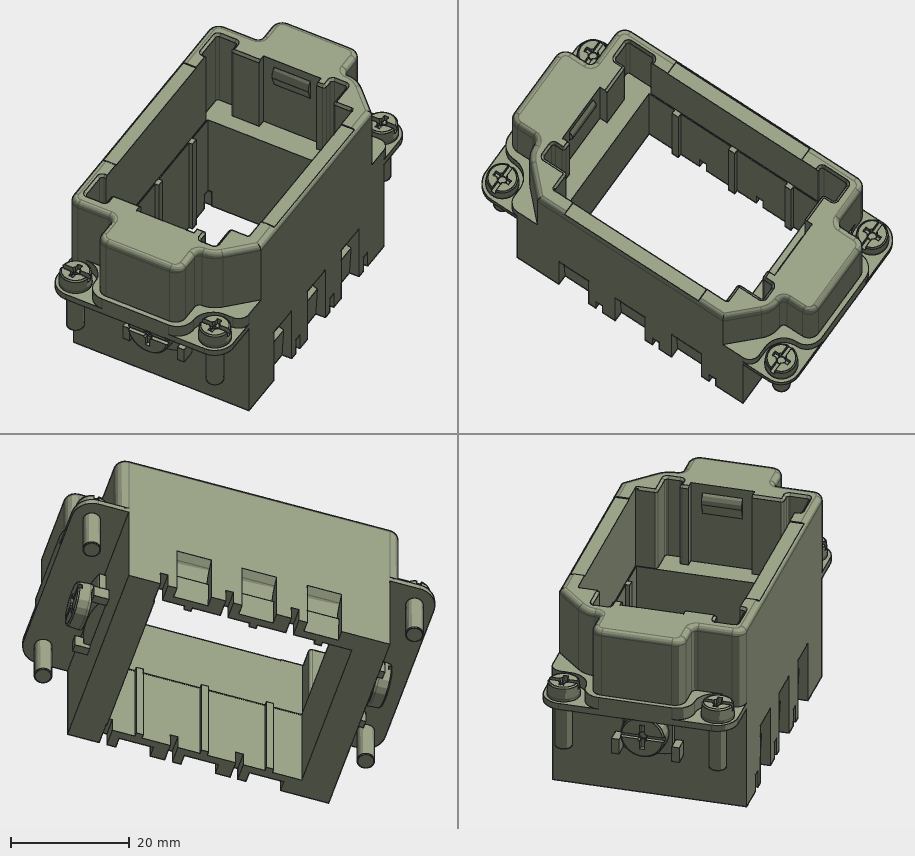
import cadquery as cq
import math

width, length, height = 34.0, 64.0, 34.9
half_width = width / 2
half_length = length / 2

body_half_length = 23.1
opening_half_width = 13.9
opening_half_length = 17.35

flange_bottom = 19.0
flange_top = 20.15
platform_top = 22.4
flange_corner = 3.6
screw_x, screw_y = 13.5, 28.55
platform_neck = 9.55
platform_crown_round = 3.1

shoulder_y = 25.1
neck_half_width = 8.1
hood_half_length = 31.1
hood_corner = 2.0
neck_inner_round = 0.9
rim_round = 1.0
bevel_bend_start = 8.9
bevel_bend_radius = 4.8

pocket_floor = 19.7
pocket_half_width = 14.1
pocket_end = 22.5
tongue_face = 20.2
pocket_step = 17.55
pocket_lip = 17.1
recess_left, tongue_left = -15.05, -11.1
tongue_right, recess_right = 7.2, 10.25
pocket_corner = 0.5
pocket_bevel = 0.45
latch_recess_half_width = 5.6
latch_recess_y = 21.7
latch_half_width = 3.5
latch_depth = 0.7
latch_bottom, latch_peak, latch_top = 29.25, 31.3, 33.2
latch_round_setback, latch_round_mid = 0.2, 32.45

strip_half_length = 13.7
strip_depth = 0.2

station_pitch = 11.5
stations = [-station_pitch, 0, station_pitch]
window_width = 6.1
window_top = 11.15
window_lead_in = 1.1
window_curve_mid = (2.1, 8.7)
window_curve_foot = (2.5, 6.4)
window_ledge = (1.55, 5.95)
window_foot_depth = 1.85
rib_width, rib_depth = 1.3, 0.7
slot_width, slot_height = 1.35, 3.2
slot_pitch = 11.6
middle_slot_y = 5.25

screw_height = 2.6
screw_diameter = 5.6
shaft_diameter = 3.0
shaft_tip_diameter = 2.7
shaft_bottom = 10.2
screw_cross_length = 3.15
screw_drive_depth = 1.1

ground_z = 13.4
ground_diameter = 8.0
ground_height = 2.55
ground_shank_diameter = 4.0
ground_cross_length = 4.55
ground_drive_depth = 0.7
plate_half_size = 4.35
plate_edge_y, plate_crown_y = 24.25, 25.2
bracket_inner, bracket_outer = 4.6, 5.95
bracket_bottom, bracket_top = 8.3, 11.15
bracket_y = 25.7

head_rim_height = 0.45
head_taper = 0.16
head_bevel = 0.25
drive_slot_width = 0.8
dimple_countersink_radius, dimple_radius = 0.9, 0.7
dimple_depth = 0.3


def block(x0, x1, y0, y1, z0, z1):
    return cq.Workplane("XY").box(x1 - x0, y1 - y0, z1 - z0, centered=False).translate((x0, y0, z0))


def both_ends(shape):
    """Join a shape on the +Y end with its mirror image on the -Y end."""
    return shape.union(shape.mirror("XZ"))


def both_sides(shape):
    """Join a shape on the -X side with its mirror image on the +X side."""
    return shape.union(shape.mirror("YZ"))


def make_flange():
    flange = block(-half_width, half_width, -half_length, half_length, flange_bottom, flange_top)
    return flange.edges("|Z").fillet(flange_corner)


def make_platform():
    middle = block(-half_width, half_width, -shoulder_y, shoulder_y, flange_bottom, platform_top)
    middle = middle.edges("|Z").fillet(hood_corner)
    bend_y = half_length - platform_crown_round
    foot_round = bend_y - shoulder_y
    crown = platform_neck - platform_crown_round
    foot = platform_neck + foot_round
    crown_diagonal = platform_crown_round * math.sqrt(0.5)
    foot_diagonal = foot_round * math.sqrt(0.5)
    end = (
        cq.Workplane("XY", origin=(0, 0, flange_bottom))
        .moveTo(-foot, shoulder_y)
        .threePointArc((-foot + foot_diagonal, bend_y - foot_diagonal), (-platform_neck, bend_y))
        .threePointArc((-crown - crown_diagonal, bend_y + crown_diagonal), (-crown, half_length))
        .lineTo(crown, half_length)
        .threePointArc((crown + crown_diagonal, bend_y + crown_diagonal), (platform_neck, bend_y))
        .threePointArc((foot - foot_diagonal, bend_y - foot_diagonal), (foot, shoulder_y))
        .lineTo(foot, 0)
        .lineTo(-foot, 0)
        .close()
        .extrude(platform_top - flange_bottom)
    )
    return middle.union(both_ends(end))


def make_hood_half():
    """Half of the hood on the +Y side, with the 45 degree bevel at +X."""
    c = hood_corner * (1 - math.sqrt(0.5))
    n = neck_inner_round * (1 - math.sqrt(0.5))
    bend = math.radians(45)
    bend_x = bevel_bend_start + bevel_bend_radius * math.sin(bend)
    bend_y = shoulder_y - bevel_bend_radius * (1 - math.cos(bend))
    mid_x = bevel_bend_start + bevel_bend_radius * math.sin(bend / 2)
    mid_y = shoulder_y - bevel_bend_radius * (1 - math.cos(bend / 2))
    nw, top, hw = neck_half_width, hood_half_length, half_width
    return (
        cq.Workplane("XY", origin=(0, 0, flange_bottom))
        .moveTo(-hw, 0)
        .lineTo(-hw, shoulder_y - hood_corner)
        .threePointArc((-hw + c, shoulder_y - c), (-hw + hood_corner, shoulder_y))
        .lineTo(-nw - neck_inner_round, shoulder_y)
        .threePointArc((-nw - n, shoulder_y + n), (-nw, shoulder_y + neck_inner_round))
        .lineTo(-nw, top - hood_corner)
        .threePointArc((-nw + c, top - c), (-nw + hood_corner, top))
        .lineTo(nw - hood_corner, top)
        .threePointArc((nw - c, top - c), (nw, top - hood_corner))
        .lineTo(nw, shoulder_y + neck_inner_round)
        .threePointArc((nw + n, shoulder_y + n), (nw + neck_inner_round, shoulder_y))
        .threePointArc((mid_x, mid_y), (bend_x, bend_y))
        .lineTo(hw, bend_y - (hw - bend_x))
        .lineTo(hw, 0)
        .close()
        .extrude(height - flange_bottom)
    )


def make_hood():
    return both_ends(make_hood_half()).clean().faces(">Z").edges().fillet(rim_round)


def make_pocket():
    """Everything removed from the hood above the inner shelf."""
    step_end = pocket_half_width - pocket_bevel
    outline = [
        (recess_left, pocket_lip),
        (recess_left, pocket_end),
        (tongue_left, pocket_end),
        (tongue_left, tongue_face),
        (tongue_right, tongue_face),
        (tongue_right, pocket_end),
        (recess_right, pocket_end),
        (recess_right, pocket_step),
        (step_end, pocket_step),
        (step_end, pocket_lip),
    ]
    sketch = cq.Sketch().polygon(outline + outline[:1]).vertices("not >X").fillet(pocket_corner)
    bevel_start = height - pocket_bevel
    end = cq.Workplane("XY", origin=(0, 0, pocket_floor)).placeSketch(sketch).extrude(height - pocket_floor)
    bevel_plane = cq.Workplane("XY", origin=(0, 0, bevel_start))
    end = end.union(bevel_plane.placeSketch(sketch).extrude(pocket_bevel, taper=-45))
    latch_recess = block(
        -latch_recess_half_width, latch_recess_half_width, 0, latch_recess_y, pocket_floor, height
    )
    middle = block(
        -pocket_half_width, pocket_half_width, 0, pocket_step, pocket_floor, height
    )
    return both_ends(middle.union(end).union(latch_recess))


def make_latch():
    """Catch on the recessed wall: straight underside, rounded top."""
    tip = latch_recess_y - latch_depth
    return (
        cq.Workplane("YZ", origin=(-latch_half_width, 0, 0))
        .moveTo(latch_recess_y, latch_bottom)
        .lineTo(tip, latch_peak)
        .threePointArc((tip + latch_round_setback, latch_round_mid), (latch_recess_y, latch_top))
        .close()
        .extrude(2 * latch_half_width)
    )


def make_strip():
    """Shallow recess along the top of one long rim."""
    return block(
        -half_width, -opening_half_width, -strip_half_length, strip_half_length,
        height - strip_depth, height,
    )


def make_window(y):
    """Recess with a curved upper part over a ledge and a drafted lower face."""
    return (
        cq.Workplane("XZ", origin=(-half_width, y + window_width / 2, 0))
        .moveTo(0, 0)
        .lineTo(0, window_top)
        .lineTo(window_lead_in, window_top - window_lead_in)
        .threePointArc(window_curve_mid, window_curve_foot)
        .lineTo(*window_ledge)
        .lineTo(window_foot_depth, 0)
        .close()
        .extrude(window_width)
    )


def make_rib(y):
    return block(
        -opening_half_width, -opening_half_width + rib_depth,
        y - rib_width / 2, y + rib_width / 2, 0, pocket_floor,
    )


def make_slot(y):
    return block(
        -half_width, -opening_half_width + rib_depth,
        y - slot_width / 2, y + slot_width / 2, 0, slot_height,
    )


def make_head(diameter, head_height, cross_length, drive_depth):
    """Tapered screw head standing on Z = 0 with a slot, a short cross slot and a centre dimple."""
    radius = diameter / 2
    upper = radius - head_taper
    head = (
        cq.Workplane("XZ")
        .polyline([
            (0, 0),
            (radius, 0),
            (radius, head_rim_height),
            (upper, head_height - head_bevel),
            (upper - head_bevel, head_height),
            (0, head_height),
        ])
        .close()
        .revolve(360, (0, 0, 0), (0, 1, 0))
    )
    floor = head_height - drive_depth
    half_slot = drive_slot_width / 2
    slot = block(-radius, radius, -half_slot, half_slot, floor, head_height)
    cross = block(-half_slot, half_slot, -cross_length / 2, cross_length / 2, floor, head_height)
    dimple = (
        cq.Workplane("XY", origin=(0, 0, floor))
        .circle(dimple_radius)
        .workplane(offset=drive_depth)
        .circle(dimple_countersink_radius)
        .loft()
        .faces("<Z").workplane().circle(dimple_radius).extrude(dimple_depth)
    )
    return head.cut(slot).cut(cross).cut(dimple)


def make_mounting_screw():
    shaft = cq.Workplane("XY", origin=(0, 0, shaft_bottom)).circle(shaft_diameter / 2)
    shaft = shaft.extrude(flange_top - shaft_bottom)
    shaft = shaft.faces("<Z").chamfer((shaft_diameter - shaft_tip_diameter) / 2)
    head = make_head(screw_diameter, screw_height, screw_cross_length, screw_drive_depth)
    return shaft.union(head.translate((0, 0, flange_top)))


def make_ground_terminal():
    """Crowned clamp plate, its screw head and two locating brackets on the -Y face."""
    plate = (
        cq.Workplane("XY", origin=(0, 0, ground_z - plate_half_size))
        .moveTo(-plate_half_size, -body_half_length)
        .lineTo(-plate_half_size, -plate_edge_y)
        .threePointArc((0, -plate_crown_y), (plate_half_size, -plate_edge_y))
        .lineTo(plate_half_size, -body_half_length)
        .close()
        .extrude(2 * plate_half_size)
    )
    head = make_head(ground_diameter, ground_height, ground_cross_length, ground_drive_depth)
    shank_length = plate_crown_y - body_half_length
    shank = cq.Workplane("XY").circle(ground_shank_diameter / 2).extrude(-shank_length)
    head = head.union(shank)
    head = head.rotate((0, 0, 0), (1, 0, 0), 90).translate((0, -plate_crown_y, ground_z))
    bracket = block(
        -bracket_outer, -bracket_inner, -bracket_y, -body_half_length, bracket_bottom, bracket_top
    )
    return plate.union(head).union(both_sides(bracket))


result = block(-half_width, half_width, -body_half_length, body_half_length, 0, platform_top)
result = result.union(make_flange()).union(make_platform()).union(make_hood())
result = result.cut(make_pocket()).cut(both_sides(make_strip()))
result = result.cut(
    block(
        -opening_half_width, opening_half_width, -opening_half_length, opening_half_length, 0, height
    )
)
result = result.union(both_ends(make_latch()))

for station in stations:
    result = result.union(both_sides(make_rib(station)))
    result = result.cut(both_sides(make_window(station)))

for step in (-1, 0, 1):
    result = result.cut(both_sides(make_slot(middle_slot_y + step * slot_pitch)))

for x in (-screw_x, screw_x):
    for y in (-screw_y, screw_y):
        result = result.union(make_mounting_screw().translate((x, y, 0)))

result = result.union(both_ends(make_ground_terminal()))